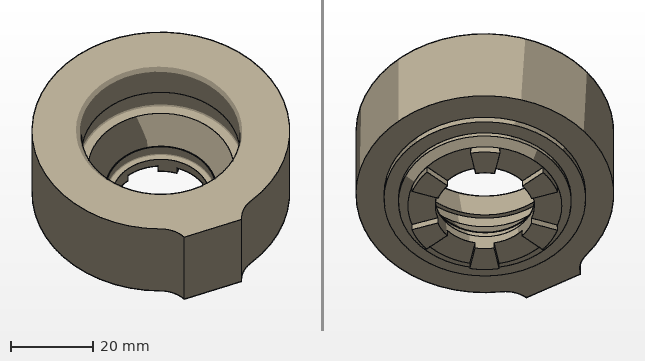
import cadquery as cq
import math

body_diameter = 62.5
body_height = 23.3
overall_length = 64.75
lug_half_width = 7.5
lug_blend_radius = 7.5

flange_diameter = 48.9
flange_height = 1.75
collar_diameter = 41.9
collar_height = 1.15
taper_height = 1.35
taper_end_diameter = 37.3

tooth_count = 6
tooth_angle = 22.0
tooth_first_angle = 30.0
tooth_height = 1.95
tooth_overlap = 0.65

mouth_diameter = 38.4
mouth_round = 1.95
mouth_depth = 8.35
chamber_diameter = 40.5
chamber_depth = 14.5
chamber_fillet = 0.65
cone_top_diameter = 35.5
cone_end_diameter = 26.6
cone_end_depth = 21.8
seat_diameter = 27.0
seat_depth = 25.0
seat_fillet = 0.42
through_diameter = 24.0

body_radius = body_diameter / 2
flange_bottom = -body_height - flange_height
collar_bottom = flange_bottom - collar_height
taper_bottom = collar_bottom - taper_height
tooth_bottom = taper_bottom - tooth_height


def polar(radius, angle):
    """Point at the given radius and angle in degrees."""
    radians = math.radians(angle)
    return radius * math.cos(radians), radius * math.sin(radians)


def make_body():
    """Puck whose lug blends into the rim with arcs tangent to the rim."""
    lug_x = overall_length - body_radius
    center_distance = body_radius + lug_blend_radius
    corner_distance = math.hypot(lug_x, lug_half_width)
    corner_angle = math.degrees(math.atan2(lug_half_width, lug_x))
    cosine = (center_distance**2 + corner_distance**2 - lug_blend_radius**2) / (
        2 * center_distance * corner_distance
    )
    contact_angle = corner_angle + math.degrees(math.acos(cosine))
    contact_x, contact_y = polar(body_radius, contact_angle)
    center_x, center_y = polar(center_distance, contact_angle)

    end_angle = math.degrees(math.atan2(lug_half_width - center_y, lug_x - center_x))
    middle_angle = (contact_angle - 180 + end_angle) / 2
    offset_x, offset_y = polar(lug_blend_radius, middle_angle)
    middle_x = center_x + offset_x
    middle_y = center_y + offset_y

    return (
        cq.Workplane("XY")
        .moveTo(contact_x, contact_y)
        .threePointArc((-body_radius, 0), (contact_x, -contact_y))
        .threePointArc((middle_x, -middle_y), (lug_x, -lug_half_width))
        .lineTo(lug_x, lug_half_width)
        .threePointArc((middle_x, middle_y), (contact_x, contact_y))
        .close()
        .extrude(-body_height)
    )


def make_underside():
    """Flange, collar and taper turned about the Z axis."""
    return (
        cq.Workplane("XZ")
        .moveTo(0, -body_height)
        .lineTo(flange_diameter / 2, -body_height)
        .lineTo(flange_diameter / 2, flange_bottom)
        .lineTo(collar_diameter / 2, flange_bottom)
        .lineTo(collar_diameter / 2, collar_bottom)
        .lineTo(taper_end_diameter / 2, taper_bottom)
        .lineTo(0, taper_bottom)
        .close()
        .revolve(360, (0, 0), (0, 1))
    )


def make_tooth(center_angle):
    """Ring sector with radial flanks, rooted in the taper and past the bore wall."""
    inner_radius = through_diameter / 2 - tooth_overlap
    outer_radius = taper_end_diameter / 2
    start = center_angle - tooth_angle / 2
    end = center_angle + tooth_angle / 2
    return (
        cq.Workplane("XY", origin=(0, 0, tooth_bottom))
        .moveTo(*polar(inner_radius, start))
        .lineTo(*polar(outer_radius, start))
        .threePointArc(polar(outer_radius, center_angle), polar(outer_radius, end))
        .lineTo(*polar(inner_radius, end))
        .threePointArc(polar(inner_radius, center_angle), polar(inner_radius, start))
        .close()
        .extrude(tooth_height + tooth_overlap)
    )


def make_bore():
    """Turned cutter: rounded mouth, chamber, cone, seat and through hole."""
    mouth_radius = mouth_diameter / 2
    chamber_radius = chamber_diameter / 2
    seat_radius = seat_diameter / 2
    through_radius = through_diameter / 2
    corner_offset = 1 - math.sqrt(0.5)
    mouth_inset = mouth_round * corner_offset
    chamber_inset = chamber_fillet * corner_offset
    seat_inset = seat_fillet * corner_offset
    return (
        cq.Workplane("XZ")
        .lineTo(mouth_radius + mouth_round, 0)
        .threePointArc(
            (mouth_radius + mouth_inset, -mouth_inset),
            (mouth_radius, -mouth_round),
        )
        .lineTo(mouth_radius, -mouth_depth)
        .lineTo(chamber_radius, -mouth_depth)
        .lineTo(chamber_radius, -chamber_depth + chamber_fillet)
        .threePointArc(
            (chamber_radius - chamber_inset, -chamber_depth + chamber_inset),
            (chamber_radius - chamber_fillet, -chamber_depth),
        )
        .lineTo(cone_top_diameter / 2, -chamber_depth)
        .lineTo(cone_end_diameter / 2, -cone_end_depth)
        .lineTo(seat_radius, -cone_end_depth)
        .lineTo(seat_radius, -seat_depth + seat_fillet)
        .threePointArc(
            (seat_radius - seat_inset, -seat_depth + seat_inset),
            (seat_radius - seat_fillet, -seat_depth),
        )
        .lineTo(through_radius, -seat_depth)
        .lineTo(through_radius, tooth_bottom)
        .lineTo(0, tooth_bottom)
        .close()
        .revolve(360, (0, 0), (0, 1))
    )


result = make_body().union(make_underside())
for index in range(tooth_count):
    result = result.union(make_tooth(tooth_first_angle + index * 360 / tooth_count))
result = result.cut(make_bore())